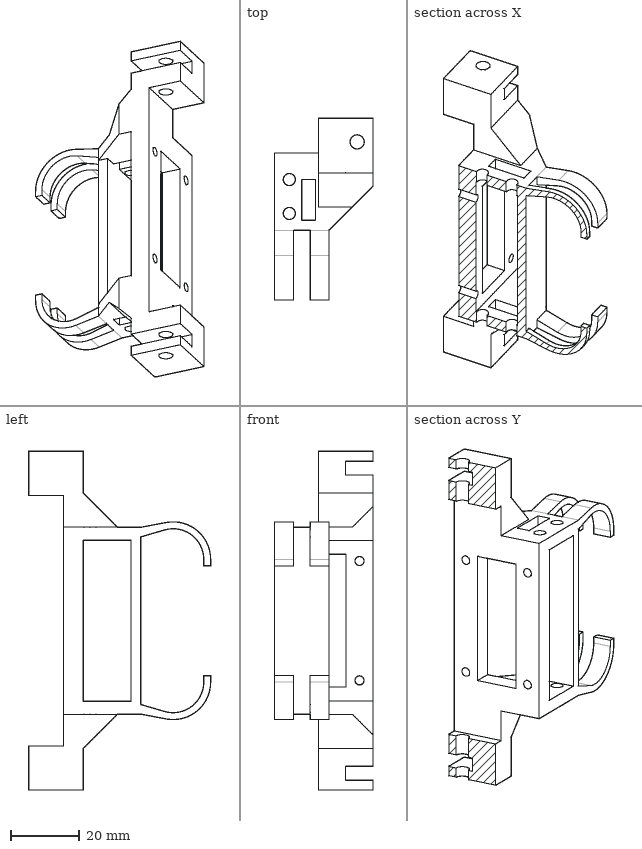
import cadquery as cq
import math


total_width = 29.0
total_height = 99.6
frame_height = 55.0
frame_depth = 22.8
plate_thickness = 3.9
back_wall = 5.9
front_wall = 3.0
front_wall_width = 16.0
window_height = frame_height - 2 * plate_thickness
corner_bevel = total_width - front_wall_width

back_slot_margin = 8.0
back_slot_height = 38.9
screw_diameter = 2.6
screw_margin = 4.0
screw_height = 17.5
plate_hole_diameter = 3.5
plate_hole_x = 4.4
plate_hole_depths = (7.9, 17.8)
plate_slot_x = 8.1
plate_slot_width = 4.0
plate_slot_length = 12.0

block_size = 16.0
block_height = 13.0
block_left = total_width - block_size
block_back = block_size - back_wall
ramp_size = 10.1
block_hole_diameter = 4.1
block_hole_x = 24.3
block_hole_from_back = 7.0
notch_depth = 8.1
notch_height = 4.0
notch_lip = 3.0

clip_spans = ((0.0, 5.7), (10.5, front_wall_width))
clip_reach = 43.3
clip_radius = 11.1
clip_thickness = 2.1
clip_center_z = 18.0
clip_tip_z = 16.1
clip_root_z = 24.6

half_frame = frame_height / 2
half_total = total_height / 2


def box(x_range, y_range, z_range):
    """Axis-aligned box between pairs of coordinates."""
    sizes = [high - low for low, high in (x_range, y_range, z_range)]
    corner = (x_range[0], y_range[0], z_range[0])
    return cq.Workplane("XY").box(*sizes, centered=False).translate(corner)


def extrude_side_profile(sketch, left, right):
    """Extrude a closed YZ outline from left to right along X."""
    return sketch.close().extrude(right - left).translate((left, 0, 0))


def with_mirror(upper):
    """Add the copy reflected in the XY plane."""
    return upper.union(upper.mirror("XY"))


def make_frame():
    frame = box((0, total_width), (-frame_depth, 0), (-half_frame, half_frame))
    half_window = window_height / 2
    window = box(
        (0, total_width), (front_wall - frame_depth, -back_wall), (-half_window, half_window)
    )
    open_front = box(
        (front_wall_width, total_width), (-frame_depth, -back_wall), (-half_window, half_window)
    )
    return frame.cut(window).cut(open_front)


def make_end_support():
    """Upper end block, its neck and its 45 degree ramp down to the frame."""
    ramp_top = half_frame + ramp_size
    block_bottom = half_total - block_height
    outline = (
        cq.Workplane("YZ")
        .moveTo(0, half_frame)
        .lineTo(0, block_bottom)
        .lineTo(block_back, block_bottom)
        .lineTo(block_back, half_total)
        .lineTo(-back_wall, half_total)
        .lineTo(-back_wall, ramp_top)
        .lineTo(-back_wall - ramp_size, half_frame)
    )
    support = extrude_side_profile(outline, block_left, total_width)

    notch_top = half_total - notch_lip
    notch = box(
        (total_width - notch_depth, total_width),
        (-back_wall, block_back),
        (notch_top - notch_height, notch_top),
    )
    hole = (
        cq.Workplane("XY", origin=(block_hole_x, block_back - block_hole_from_back, block_bottom))
        .circle(block_hole_diameter / 2)
        .extrude(block_height)
    )
    return support.cut(notch).cut(hole)


def tangent_point(start, center, radius):
    """Upper point where the line from start touches the circle."""
    run = start[0] - center[0]
    rise = start[1] - center[1]
    angle = math.atan2(rise, run) + math.acos(radius / math.hypot(run, rise))
    return center[0] + radius * math.cos(angle), center[1] + radius * math.sin(angle)


def make_clip(left, right):
    """Upper hooked clip: tapering root, round bow and short straight tip."""
    center = (clip_radius - clip_reach, clip_center_z)
    inner_radius = clip_radius - clip_thickness
    outer_root = (-frame_depth, half_frame)
    inner_root = (-frame_depth, clip_root_z)
    diagonal = math.sqrt(0.5)

    def bow_point(radius):
        return center[0] - radius * diagonal, center[1] + radius * diagonal

    outline = (
        cq.Workplane("YZ")
        .moveTo(*outer_root)
        .lineTo(*tangent_point(outer_root, center, clip_radius))
        .threePointArc(bow_point(clip_radius), (-clip_reach, clip_center_z))
        .lineTo(-clip_reach, clip_tip_z)
        .lineTo(clip_thickness - clip_reach, clip_tip_z)
        .lineTo(clip_thickness - clip_reach, clip_center_z)
        .threePointArc(bow_point(inner_radius), tangent_point(inner_root, center, inner_radius))
        .lineTo(*inner_root)
    )
    return extrude_side_profile(outline, left, right)


def make_corner_bevel():
    """Full-height wedge removed from the front right corner."""
    return (
        cq.Workplane("XY", origin=(0, 0, -half_total))
        .moveTo(front_wall_width, -frame_depth)
        .lineTo(total_width, -frame_depth)
        .lineTo(total_width, corner_bevel - frame_depth)
        .close()
        .extrude(total_height)
    )


def make_back_wall_openings():
    half_slot = back_slot_height / 2
    openings = box(
        (back_slot_margin, total_width - back_slot_margin), (-back_wall, 0), (-half_slot, half_slot)
    )
    screw_points = [
        (x, z)
        for x in (screw_margin, total_width - screw_margin)
        for z in (-screw_height, screw_height)
    ]
    screws = cq.Workplane("XZ").pushPoints(screw_points).circle(screw_diameter / 2).extrude(back_wall)
    return openings.union(screws)


def make_plate_openings():
    """Two holes and a slot, cut through both horizontal plates."""
    holes = (
        cq.Workplane("XY", origin=(0, 0, -half_frame))
        .pushPoints([(plate_hole_x, -depth) for depth in plate_hole_depths])
        .circle(plate_hole_diameter / 2)
        .extrude(frame_height)
    )
    slot_front = front_wall - frame_depth
    slot = box(
        (plate_slot_x, plate_slot_x + plate_slot_width),
        (slot_front, slot_front + plate_slot_length),
        (-half_frame, half_frame),
    )
    return holes.union(slot)


result = make_frame().union(with_mirror(make_end_support()))
result = result.cut(make_corner_bevel())
for clip_left, clip_right in clip_spans:
    result = result.union(with_mirror(make_clip(clip_left, clip_right)))
result = result.cut(make_back_wall_openings()).cut(make_plate_openings())